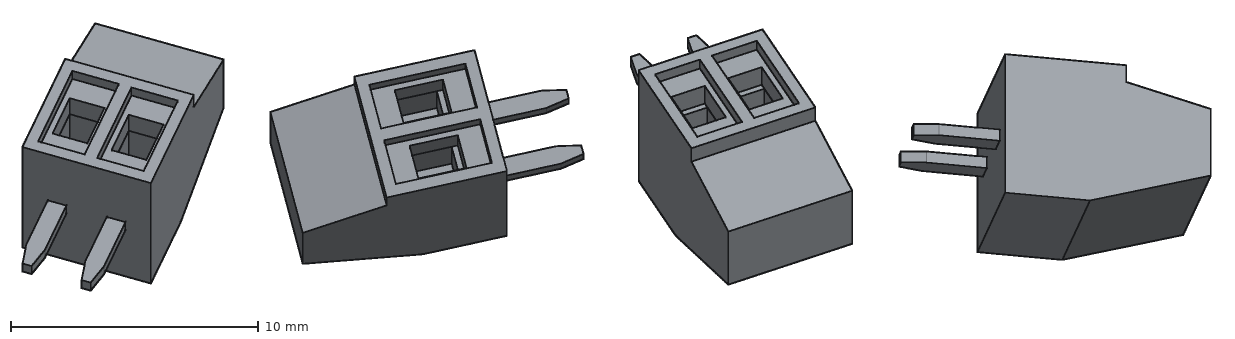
import cadquery as cq

total_length = 12.0
housing_width = 5.55
housing_height = 6.25
pin_length = 3.5
housing_length = total_length - pin_length
deck_length = 5.0
deck_step = 0.75
flat_base_length = 3.5
back_face_height = 3.0
back_face_bottom = (housing_height - back_face_height) / 2
back_face_top = back_face_bottom + back_face_height

pole_pitch = 2.55
pole_positions = [-pole_pitch / 2, pole_pitch / 2]

recess_width = 2.0
recess_length = 4.0
recess_depth = 0.5
opening_width = 1.5
opening_length = 2.0
opening_depth = 1.0
opening_center = deck_length / 2
opening_front = opening_center - opening_length / 2
opening_back = opening_center + opening_length / 2
recess_floor = housing_height - recess_depth

pin_width = 0.8
pin_tip_width = 0.4
pin_taper_length = 1.0
pin_thickness = 0.5
pin_bottom = (housing_height - pin_thickness) / 2

cup_wall = 0.25
cup_width = opening_width + 2 * cup_wall
cup_front = opening_front
cup_length = opening_back + cup_wall - cup_front
cup_cavity_length = cup_length - 2 * cup_wall
cup_top = recess_floor - opening_depth
cup_bottom = pin_bottom
cup_height = cup_top - cup_bottom


def box_from(x_center, y_front, z_bottom, width, length, height):
    """Box centred on x_center, starting at y_front and z_bottom."""
    return cq.Workplane("XY").box(width, length, height, centered=(True, False, False)).translate(
        (x_center, y_front, z_bottom)
    )


def make_cup_block(x):
    """Outer block of a terminal cup, also the shape of its seat in the housing."""
    return box_from(x, cup_front, cup_bottom, cup_width, cup_length, cup_height)


def make_terminal_cup(x):
    cavity = box_from(
        x, cup_front + cup_wall, cup_bottom + cup_wall, opening_width, cup_cavity_length, cup_height
    )
    return make_cup_block(x).cut(cavity)


def make_pin(x):
    """Flat pin with a tapered tip; its inner end butts against the front of the terminal cup."""
    half_width = pin_width / 2
    half_tip = pin_tip_width / 2
    taper_start = pin_taper_length - pin_length
    outline = [
        (x - half_width, cup_front),
        (x - half_width, taper_start),
        (x - half_tip, -pin_length),
        (x + half_tip, -pin_length),
        (x + half_width, taper_start),
        (x + half_width, cup_front),
    ]
    return cq.Workplane("XY").workplane(offset=pin_bottom).polyline(outline).close().extrude(pin_thickness)


def make_housing_block():
    """Side profile in the YZ plane, extruded across the full width."""
    profile = [
        (0, 0),
        (flat_base_length, 0),
        (housing_length, back_face_bottom),
        (housing_length, back_face_top),
        (deck_length, housing_height - deck_step),
        (deck_length, housing_height),
        (0, housing_height),
    ]
    return cq.Workplane("YZ").polyline(profile).close().extrude(housing_width / 2, both=True)


def make_housing():
    body = make_housing_block()
    for x in pole_positions:
        recess = box_from(
            x, opening_center - recess_length / 2, recess_floor, recess_width, recess_length, recess_depth
        )
        opening = box_from(x, opening_front, cup_top, opening_width, opening_length, opening_depth)
        pin_hole = box_from(x, 0, pin_bottom, pin_width, cup_front, pin_thickness)
        body = body.cut(recess).cut(opening).cut(make_cup_block(x)).cut(pin_hole)
    return body


housing = make_housing()
terminal_cups = [make_terminal_cup(x) for x in pole_positions]
pins = [make_pin(x) for x in pole_positions]

result = cq.Compound.makeCompound(
    [housing.val(), *[cup.val() for cup in terminal_cups], *[pin.val() for pin in pins]]
)